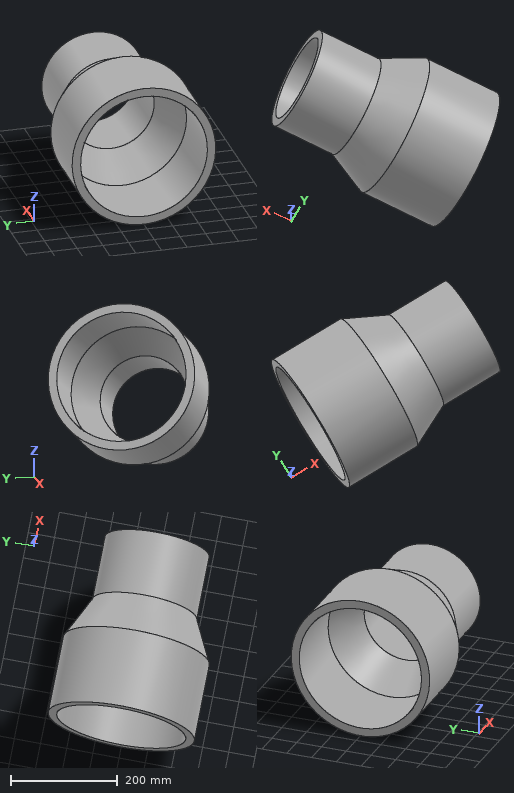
import cadquery as cq
import math

total_length = 357.0
large_length = 150.0
small_length = 125.0
large_outer_diameter = 280.0
small_outer_diameter = 200.0
large_bore_diameter = 246.7

wall = (large_outer_diameter - large_bore_diameter) / 2
small_bore_diameter = small_outer_diameter - 2 * wall
cone_start = large_length
cone_end = total_length - small_length
cone_drop = (large_outer_diameter - small_outer_diameter) / 2
cone_angle = math.atan2(cone_drop, cone_end - cone_start)
bore_shift = wall * math.tan(cone_angle / 2)


def reducer_body(large_diameter, small_diameter, shift):
    """Large cylinder, cone and small cylinder, with the cone moved by shift towards the large end."""
    large_radius = large_diameter / 2
    small_radius = small_diameter / 2
    return (
        cq.Workplane("XZ")
        .lineTo(0, large_radius)
        .lineTo(cone_start - shift, large_radius)
        .lineTo(cone_end - shift, small_radius)
        .lineTo(total_length, small_radius)
        .lineTo(total_length, 0)
        .close()
        .revolve(360, (0, 0, 0), (1, 0, 0))
    )


outer_body = reducer_body(large_outer_diameter, small_outer_diameter, 0)
bore = reducer_body(large_bore_diameter, small_bore_diameter, bore_shift)
result = outer_body.cut(bore)